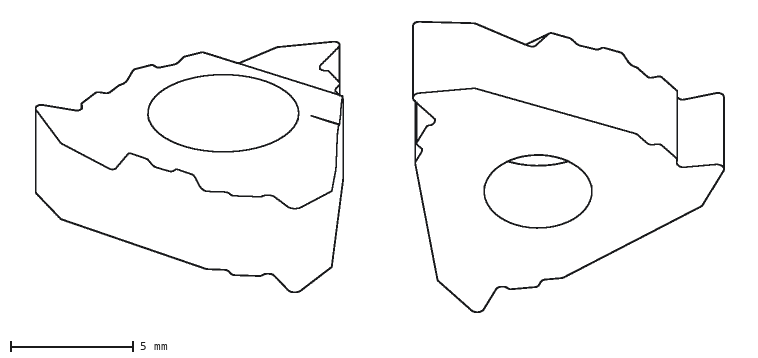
import cadquery as cq
import math

THICKNESS = 4.27
INSCRIBED_RADIUS = 9.52 / 2
CORNER_COUNT = 3
CORNER_STEP = 360 / CORNER_COUNT

FLANK_ANGLE = 60
LEADING_FLANK_DISTANCE = 6.516
TRAILING_FLANK_DISTANCE = 0.69
NOSE_HEIGHT = 6.91
NOSE_RADIUS = 0.295
ROOT_HEIGHT = 5.51
LAND_HEIGHT = 5.71
SHOULDER_HEIGHT = 5.31
LAND_LEFT = -1.934
LAND_RIGHT = -0.75
ROOT_RADIUS = 0.24
LAND_LEFT_RADIUS = 0.15
LAND_RIGHT_RADIUS = 0.2
SHOULDER_END_RADIUS = 0.35
FLANK_END_RADIUS = 0.2

RAKE_ANGLE = 10
RAKE_HEIGHT_AT_AXIS = 2.767
WALL_DIRECTION = 29.4
WALL_DISTANCE = 4.254
WALL_LEAN = 30
WALL_FOOT_RADIUS = 0.3
WALL_TOP_RADIUS = 0.16

BORE_RADIUS = 4.4 / 2
MOUTH_RADIUS = 3.08
SOCKET_RADIUS = 2.965
SOCKET_DEPTH = 0.96
SEAT_RADIUS = 2.88
SEAT_DEPTH = 1.26
BORE_DEPTH = 3.52

NOTCH_DIRECTION = -15
NOTCH_END = (-3.468, -0.559)
NOTCH_RAMP = 10
NOTCH_FLOOR_WIDTH = 0.83
NOTCH_WALL_LEAN = 50
NOTCH_FOOT_RADIUS = 0.27
NOTCH_RIM_RADIUS = 0.12

CLEARANCE = 2.0


def around_corners(shape):
    """Return the shape repeated at every corner."""
    origin = (0, 0, 0)
    up = (0, 0, 1)
    return [shape.rotate(origin, up, i * CORNER_STEP) for i in range(CORNER_COUNT)]


def rotated(point, degrees):
    """Plan point turned counter-clockwise about the hole axis."""
    angle = math.radians(degrees)
    x, y = point
    return (x * math.cos(angle) - y * math.sin(angle), x * math.sin(angle) + y * math.cos(angle))


def moved(start, target, distance):
    """Point at a distance from start on the way to target."""
    ratio = distance / math.dist(start, target)
    return tuple(s + (t - s) * ratio for s, t in zip(start, target))


def rounded_outline(plane, corners):
    """Closed wire through (point, radius) corners, each rounded by its radius."""
    path = None
    for i, (point, radius) in enumerate(corners):
        before = corners[i - 1][0]
        after = corners[(i + 1) % len(corners)][0]
        arc_start = point
        if radius:
            unit = 1
            toward_before = moved(point, before, unit)
            toward_after = moved(point, after, unit)
            half_angle = math.asin(math.dist(toward_before, toward_after) / (2 * unit))
            tangent = radius / math.tan(half_angle)
            arc_start = moved(point, before, tangent)
            arc_end = moved(point, after, tangent)
            middle = tuple((a + b) / 2 for a, b in zip(toward_before, toward_after))
            arc_middle = moved(point, middle, radius / math.sin(half_angle) - radius)
        path = path.lineTo(*arc_start) if path else cq.Workplane(plane).moveTo(*arc_start)
        if radius:
            path = path.threePointArc(arc_middle, arc_end)
    return path.close()


def tooth_corners():
    """Outline corners of the +Y tooth, counter-clockwise from the long side on its right."""
    sine = math.sin(math.radians(FLANK_ANGLE))
    cosine = math.cos(math.radians(FLANK_ANGLE))
    slope = sine / cosine

    nose_right_x = (TRAILING_FLANK_DISTANCE - NOSE_HEIGHT * cosine) / sine
    nose_left_x = (NOSE_HEIGHT * cosine - LEADING_FLANK_DISTANCE) / sine
    root_x = (TRAILING_FLANK_DISTANCE - ROOT_HEIGHT * cosine) / sine
    land_foot_x = LAND_LEFT - (LAND_HEIGHT - ROOT_HEIGHT) / slope
    shoulder_x = LAND_RIGHT + (LAND_HEIGHT - SHOULDER_HEIGHT) / slope
    shoulder_end_x = (INSCRIBED_RADIUS - SHOULDER_HEIGHT * sine) / cosine
    flank_end_y = (LEADING_FLANK_DISTANCE - INSCRIBED_RADIUS * sine) / cosine
    return [
        ((shoulder_end_x, SHOULDER_HEIGHT), SHOULDER_END_RADIUS),
        ((shoulder_x, SHOULDER_HEIGHT), ROOT_RADIUS),
        ((LAND_RIGHT, LAND_HEIGHT), LAND_RIGHT_RADIUS),
        ((LAND_LEFT, LAND_HEIGHT), LAND_LEFT_RADIUS),
        ((land_foot_x, ROOT_HEIGHT), ROOT_RADIUS),
        ((root_x, ROOT_HEIGHT), ROOT_RADIUS),
        ((nose_right_x, NOSE_HEIGHT), NOSE_RADIUS),
        ((nose_left_x, NOSE_HEIGHT), NOSE_RADIUS),
        ((-INSCRIBED_RADIUS, flank_end_y), FLANK_END_RADIUS),
    ]


def make_blank():
    """Full-thickness plate with the complete three-toothed outline."""
    corners = [
        (rotated(point, i * CORNER_STEP), radius)
        for i in range(CORNER_COUNT)
        for point, radius in tooth_corners()
    ]
    return rounded_outline("XY", corners).extrude(THICKNESS)


def make_rake_cutter():
    """Cutter for the +Y tooth, swept along the wall so that its floor is the rake plane."""
    direction = math.radians(WALL_DIRECTION)
    rake_slope = math.tan(math.radians(RAKE_ANGLE))
    climb = rake_slope * math.sin(direction)
    floor_slope = rake_slope * math.cos(direction) / math.hypot(1, climb)
    plane = cq.Plane(
        origin=(0, 0, RAKE_HEIGHT_AT_AXIS),
        xDir=(-math.sin(direction), math.cos(direction), 0),
        normal=(math.cos(direction), math.sin(direction), climb),
    )
    foot = (WALL_DISTANCE, WALL_DISTANCE * floor_slope)
    ceiling = THICKNESS - RAKE_HEIGHT_AT_AXIS + CLEARANCE
    wall_top_x = foot[0] - (ceiling - foot[1]) * math.tan(math.radians(WALL_LEAN))
    outer_x = LEADING_FLANK_DISTANCE + CLEARANCE
    profile = [
        (foot, WALL_FOOT_RADIUS),
        ((outer_x, outer_x * floor_slope), 0),
        ((outer_x, ceiling), 0),
        ((wall_top_x, ceiling), 0),
    ]
    return rounded_outline(plane, profile).extrude(LEADING_FLANK_DISTANCE, both=True)


def make_hole_cutter():
    """Hole with a tapered mouth, a blended step and a flared seat above a straight bore."""
    flare_drop = BORE_DEPTH - SEAT_DEPTH
    flare_width = SEAT_RADIUS - BORE_RADIUS
    flare_radius = (flare_drop**2 + flare_width**2) / (2 * flare_width)
    half_turn = math.asin(flare_drop / flare_radius) / 2
    flare_middle = (
        BORE_RADIUS + flare_radius * (1 - math.cos(half_turn)),
        THICKNESS - BORE_DEPTH + flare_radius * math.sin(half_turn),
    )
    socket_foot = (SOCKET_RADIUS, THICKNESS - SOCKET_DEPTH)
    return (
        cq.Workplane("XZ")
        .moveTo(0, THICKNESS)
        .lineTo(MOUTH_RADIUS, THICKNESS)
        .lineTo(*socket_foot)
        .tangentArcPoint((SEAT_RADIUS, THICKNESS - SEAT_DEPTH), relative=False)
        .threePointArc(flare_middle, (BORE_RADIUS, THICKNESS - BORE_DEPTH))
        .lineTo(BORE_RADIUS, 0)
        .lineTo(0, 0)
        .close()
        .revolve(360, (0, 0), (0, 1))
    )


def make_notch_cutter():
    """Trapezoidal channel that ramps down from its inner end to the long side at -X."""
    outward = math.radians(NOTCH_DIRECTION + 180)
    plane = cq.Plane(
        origin=(*NOTCH_END, THICKNESS),
        xDir=(-math.sin(outward), math.cos(outward), 0),
        normal=(math.cos(outward), math.sin(outward), -math.tan(math.radians(NOTCH_RAMP))),
    )
    half_floor = NOTCH_FLOOR_WIDTH / 2
    half_top = half_floor + CLEARANCE * math.tan(math.radians(NOTCH_WALL_LEAN))
    profile = [
        ((-half_floor, 0), NOTCH_FOOT_RADIUS),
        ((half_floor, 0), NOTCH_FOOT_RADIUS),
        ((half_top, CLEARANCE), 0),
        ((-half_top, CLEARANCE), 0),
    ]
    return rounded_outline(plane, profile).extrude(CLEARANCE)


def cut_rake_faces(body):
    """Lower every tooth to its rake face."""
    for cutter in around_corners(make_rake_cutter()):
        body = body.cut(cutter)
    return body


def round_wall_tops(body):
    """Round the tops of the step walls, which are the longest edges of the top face."""
    top_edges = body.faces(">Z").edges()
    wall_tops = top_edges.sort(lambda edge: -edge.Length())[:CORNER_COUNT]
    return wall_tops.fillet(WALL_TOP_RADIUS)


def cut_notches(body):
    """Cut the notches into the blank and round their rims.

    The rims are then the only top edges centred inside the inscribed circle.
    """
    for cutter in around_corners(make_notch_cutter()):
        body = body.cut(cutter)
    top_edges = body.faces(">Z").edges()
    axis_top = cq.Vector(0, 0, THICKNESS)
    rim_limit = INSCRIBED_RADIUS - NOTCH_RIM_RADIUS
    rims = top_edges.filter(lambda edge: (edge.Center() - axis_top).Length < rim_limit)
    return rims.fillet(NOTCH_RIM_RADIUS)


result = make_blank()
result = cut_notches(result)
result = cut_rake_faces(result)
result = round_wall_tops(result)
result = result.cut(make_hole_cutter())